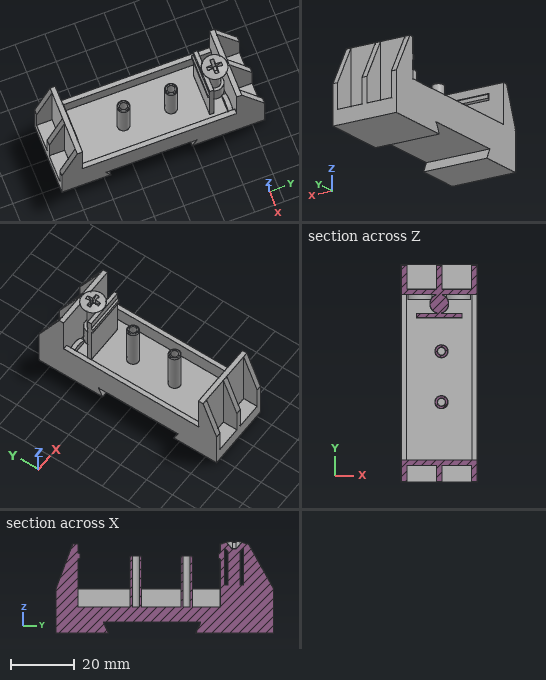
import cadquery as cq

length = 68.5
width = 24.0
end_height = 28.15
side_height = 14.05
shoulder_height = 14.2
side_wall = 1.65
tray_floor = 8.35

rear_inner = 24.7
rear_outer = 26.45
front_inner = -27.25
front_outer = -29.05

rail_depth = 3.55
rail_roof_front = -19.3
rail_roof_rear = 11.3
rail_undercut = 1.65

rib = 1.85
pocket_floor = 5.3

boss_diameter = 9.0
boss_spacing = 12.2
boss_thickness = 1.6
boss_axis_height = 5.95

plate_width = 14.4
plate_front = 17.5
plate_rear = 18.85
plate_top = 28.1
ridge_bottom = 23.2
ridge_height = 2.25
ridge_slope = 0.5
ridge_depth = 0.6
front_ridge_width = 13.1

post_diameter = 4.1
post_bore = 2.5
post_top = 24.4
post_chamfer = 0.35
post_x = 0.7
post_middle_y = -1.1
post_pitch = 16.0

screw_y = 21.85
shank_diameter = 4.0
head_diameter = 8.4
head_base = 25.7
head_rim = 28.15
screw_top = 29.05
collar_diameter = 5.95
collar_top = 15.3
recess_span = 5.5
recess_core = 1.4
recess_slot = 1.15
recess_depth = 2.4


def box(x0, x1, y0, y1, z0, z1):
    """Axis-aligned block between two opposite corners."""
    return cq.Workplane("XY").box(x1 - x0, y1 - y0, z1 - z0, centered=False).translate((x0, y0, z0))


def extrude_across(points, span):
    """Prism with a (y, z) outline, centred on x = 0."""
    return cq.Workplane("YZ").polyline(points).close().extrude(span / 2, both=True)


def make_housing():
    half = length / 2
    outline = [
        (-half, 0),
        (rail_roof_front + rail_undercut, 0),
        (rail_roof_front, rail_depth),
        (rail_roof_rear, rail_depth),
        (rail_roof_rear - rail_undercut, 0),
        (half, 0),
        (half, shoulder_height),
        (rear_outer, end_height),
        (rear_inner, end_height),
        (rear_inner, side_height),
        (front_inner, side_height),
        (front_inner, end_height),
        (front_outer, end_height),
        (-half, shoulder_height),
    ]
    tray_half = width / 2 - side_wall
    tray = box(-tray_half, tray_half, front_inner, rear_inner, tray_floor, end_height)
    return extrude_across(outline, width).cut(tray)


def make_pockets():
    half = length / 2
    pocket_width = (width - 3 * rib) / 2
    pockets = cq.Workplane("XY")
    for x0 in (rib / 2, -rib / 2 - pocket_width):
        for y0, y1 in ((-half, front_outer), (rear_outer, half)):
            pockets = pockets.add(box(x0, x0 + pocket_width, y0, y1, pocket_floor, end_height))
    return pockets.combine()


def make_ridge(wall_face, direction, ridge_width):
    """Snap ridge standing off a wall face toward +Y (direction 1) or -Y (direction -1)."""
    crest = wall_face + direction * ridge_depth
    ridge_top = ridge_bottom + ridge_height
    return extrude_across(
        [
            (wall_face, ridge_bottom),
            (crest, ridge_bottom + ridge_slope),
            (crest, ridge_top - ridge_slope),
            (wall_face, ridge_top),
        ],
        ridge_width,
    )


def make_boss(x):
    """Round boss on the rear wall, cut off level with the tray floor."""
    disc = (
        cq.Workplane("XZ", origin=(x, rear_inner, boss_axis_height))
        .circle(boss_diameter / 2)
        .extrude(boss_thickness)
    )
    below_floor = box(-width / 2, width / 2, 0, rear_inner, 0, tray_floor)
    return disc.cut(below_floor)


def make_post(y):
    return (
        cq.Workplane("XY", origin=(post_x, y, tray_floor))
        .circle(post_diameter / 2)
        .extrude(post_top - tray_floor)
        .faces(">Z")
        .chamfer(post_chamfer)
        .faces(">Z")
        .workplane()
        .hole(post_bore, post_top - tray_floor)
    )


def make_screw():
    """Oval-head screw with a collar at its foot and a cross recess in its head."""
    head_radius = head_diameter / 2
    dome_height = screw_top - head_rim
    dome_radius = (head_radius**2 + dome_height**2) / (2 * dome_height)
    arc_x = head_radius / 2
    arc_z = screw_top - dome_radius + (dome_radius**2 - arc_x**2) ** 0.5
    screw = (
        cq.Workplane("XZ")
        .moveTo(0, tray_floor)
        .lineTo(collar_diameter / 2, tray_floor)
        .lineTo(collar_diameter / 2, collar_top)
        .lineTo(shank_diameter / 2, collar_top)
        .lineTo(shank_diameter / 2, head_base)
        .lineTo(head_radius, head_rim)
        .threePointArc((arc_x, arc_z), (0, screw_top))
        .close()
        .revolve(360, (0, 0, 0), (0, 1, 0))
    )
    return screw.cut(make_recess()).translate((0, screw_y, 0))


def make_recess():
    """Two crossed slots with sloping ends, narrowing down to a round core."""
    bottom = screw_top - recess_depth
    slot = extrude_across(
        [
            (-recess_core / 2, bottom),
            (recess_core / 2, bottom),
            (recess_span / 2, screw_top),
            (-recess_span / 2, screw_top),
        ],
        recess_slot,
    )
    core = cq.Workplane("XY", origin=(0, 0, bottom)).circle(recess_core / 2).extrude(recess_depth)
    return slot.union(slot.rotate((0, 0, 0), (0, 0, 1), 90)).union(core)


def make_plate():
    half_width = plate_width / 2
    return box(-half_width, half_width, plate_front, plate_rear, tray_floor, plate_top)


result = (
    make_housing()
    .cut(make_pockets())
    .union(make_plate())
    .union(make_ridge(plate_front, -1, plate_width))
    .union(make_ridge(front_inner, 1, front_ridge_width))
)
for side in (-1, 1):
    result = result.union(make_boss(side * boss_spacing / 2))
    result = result.union(make_post(post_middle_y + side * post_pitch / 2))
result = result.union(make_screw())